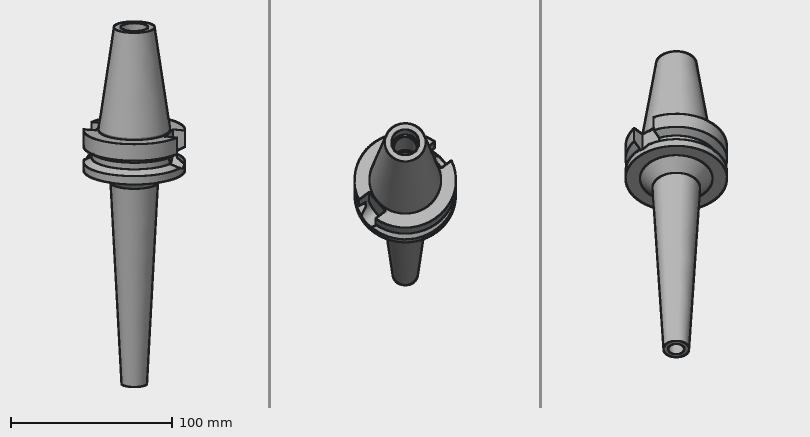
import cadquery as cq
import math

gauge_diameter = 44.45
shank_length = 65.4
shank_taper = 7 / 24
shank_end_diameter = gauge_diameter - shank_length * shank_taper

flange_diameter = 63.0
flange_top = -1.0
flange_bottom = -27.0
groove_center = -16.6
groove_width = 10.0
groove_diameter = 53.0
groove_flank_angle = 30.0
groove_depth = (flange_diameter - groove_diameter) / 2
groove_floor_width = groove_width - 2 * groove_depth * math.tan(math.radians(groove_flank_angle))

keyway_width = 16.1
keyway_floor_distance = 22.5
keyway_bottom = -23.0
keyway_round_center = keyway_bottom + keyway_width / 2

nose_end = -165.0
nose_tip_diameter = 16.0
nose_half_angle = 3.0
collar_diameter = 45.0
collar_height = 7.8
nose_top = flange_bottom - collar_height
nose_top_diameter = nose_tip_diameter + 2 * (nose_top - nose_end) * math.tan(math.radians(nose_half_angle))

through_bore_diameter = 10.0
stepped_bores = [
    (17.0, 9.0),
    (14.0, 32.0),
    (11.5, 90.0),
]


def make_body():
    """Revolve the outer profile of shank, flange and nose."""
    profile = [
        (0, shank_length),
        (shank_end_diameter / 2, shank_length),
        (gauge_diameter / 2, 0),
        (gauge_diameter / 2, flange_top),
        (flange_diameter / 2, flange_top),
        (flange_diameter / 2, groove_center + groove_width / 2),
        (groove_diameter / 2, groove_center + groove_floor_width / 2),
        (groove_diameter / 2, groove_center - groove_floor_width / 2),
        (flange_diameter / 2, groove_center - groove_width / 2),
        (flange_diameter / 2, flange_bottom),
        (collar_diameter / 2, flange_bottom),
        (nose_top_diameter / 2, nose_top),
        (nose_tip_diameter / 2, nose_end),
        (0, nose_end),
    ]
    return cq.Workplane("YZ").polyline(profile).close().revolve(360, (0, 0, 0), (0, 1, 0))


def make_keyway(side):
    """Cutter for the keyway on the +X (side = 1) or -X (side = -1) side."""
    half_width = keyway_width / 2
    return (
        cq.Workplane("YZ", origin=(side * keyway_floor_distance, 0, 0))
        .moveTo(-half_width, flange_top)
        .lineTo(-half_width, keyway_round_center)
        .threePointArc((0, keyway_bottom), (half_width, keyway_round_center))
        .lineTo(half_width, flange_top)
        .close()
        .extrude(side * flange_diameter / 2)
    )


def make_bore(diameter, depth):
    """Cylindrical cutter sunk from the shank end."""
    return cq.Workplane("XY", origin=(0, 0, shank_length)).circle(diameter / 2).extrude(-depth)


result = make_body()
for side in (-1, 1):
    result = result.cut(make_keyway(side))
for diameter, depth in stepped_bores:
    result = result.cut(make_bore(diameter, depth))
result = result.cut(make_bore(through_bore_diameter, shank_length - nose_end))